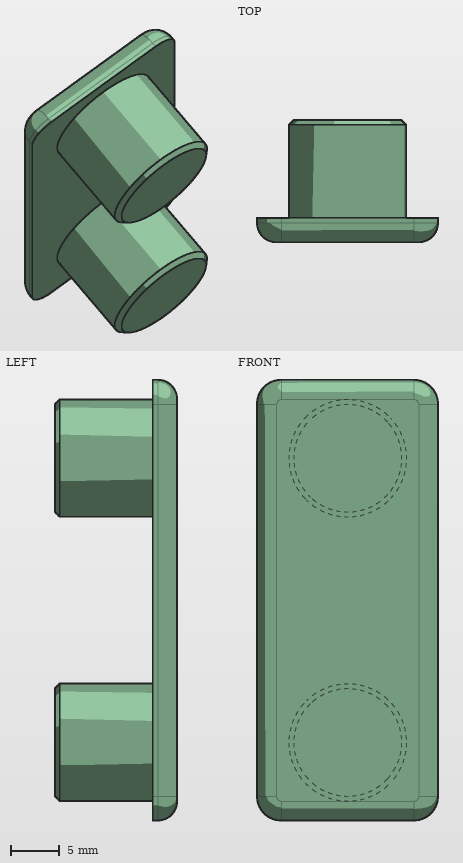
import cadquery as cq

plate_width = 18.5
plate_height = 45.0
plate_thickness = 2.5
corner_radius = 2.5
front_edge_radius = 2.0

peg_diameter = 12.0
peg_length = 10.0
peg_spacing = 29.0
peg_tip_chamfer = 0.5


def make_plate():
    """Plate with its back face on Y = 0, rounded corners and a rounded front rim."""
    plate = (
        cq.Workplane("XY")
        .box(plate_width, plate_thickness, plate_height)
        .translate((0, -plate_thickness / 2, 0))
    )
    plate = plate.edges("|Y").fillet(corner_radius)
    return plate.faces("<Y").edges().fillet(front_edge_radius)


def make_peg(center_z):
    """Peg growing towards +Y from the back of the plate, chamfered at its tip."""
    peg = (
        cq.Workplane("XZ", origin=(0, 0, center_z))
        .circle(peg_diameter / 2)
        .extrude(-peg_length)
    )
    return peg.faces(">Y").edges().chamfer(peg_tip_chamfer)


result = make_plate()
for side in (-1, 1):
    result = result.union(make_peg(side * peg_spacing / 2))